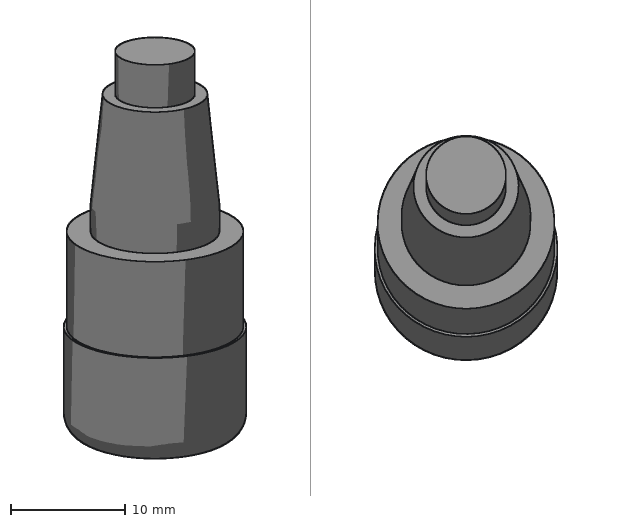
import cadquery as cq

grip_diameter = 16.0
grip_height = 10.0
grip_edge_radius = 2.0
collar_diameter = 15.5
collar_height = 8.9
boot_base_diameter = 11.3
boot_base_height = 2.6
boot_tip_diameter = 9.2
boot_taper_height = 10.2
cable_diameter = 7.0
cable_length = 4.0

collar_bottom = grip_height
boot_bottom = collar_bottom + collar_height
taper_bottom = boot_bottom + boot_base_height
boot_top = taper_bottom + boot_taper_height


def cylinder(diameter, height, bottom):
    return cq.Workplane("XY").workplane(offset=bottom).circle(diameter / 2).extrude(height)


def make_plug():
    """Rounded grip, collar and tapered boot, all one solid."""
    grip = cylinder(grip_diameter, grip_height, 0).faces("<Z").edges().fillet(grip_edge_radius)
    collar = cylinder(collar_diameter, collar_height, collar_bottom)
    boot_base = cylinder(boot_base_diameter, boot_base_height, boot_bottom)
    boot_taper = cq.Workplane(
        cq.Solid.makeCone(
            boot_base_diameter / 2,
            boot_tip_diameter / 2,
            boot_taper_height,
            pnt=cq.Vector(0, 0, taper_bottom),
        )
    )
    return grip.union(collar).union(boot_base).union(boot_taper)


def make_cable():
    """Cable stub resting on the flat tip of the boot."""
    return cylinder(cable_diameter, cable_length, boot_top)


plug = make_plug()
cable = make_cable()

result = cq.Compound.makeCompound([plug.val(), cable.val()])